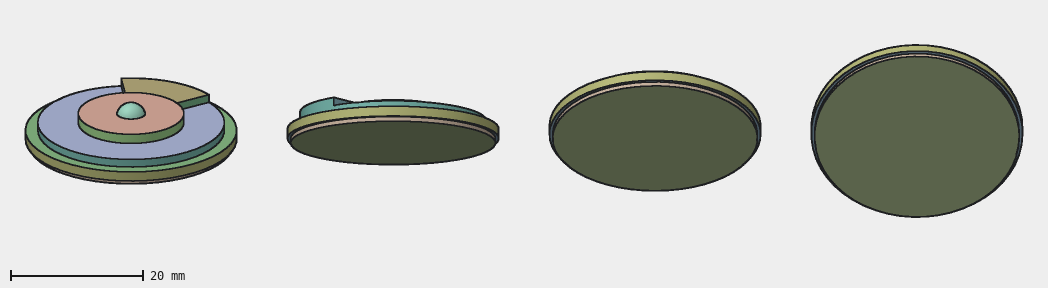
import cadquery as cq
import math

FOOT_DIAMETER = 31.0
FOOT_TOP = 0.7
FLANGE_DIAMETER = 32.0
FLANGE_THICKNESS = 1.5
FLANGE_TOP = FOOT_TOP + FLANGE_THICKNESS
STEP_DIAMETER = 28.25
STEP_THICKNESS = 1.25
STEP_TOP = FLANGE_TOP + STEP_THICKNESS
HUB_DIAMETER = 16.0
HUB_THICKNESS = 1.5
HUB_TOP = STEP_TOP + HUB_THICKNESS

SECTOR_RISE = 1.25
SECTOR_TOP = STEP_TOP + SECTOR_RISE
SECTOR_HALF_ANGLE = 31.4

BALL_DIAMETER = 4.5
TOTAL_HEIGHT = 6.58


def disc(diameter, bottom, top):
    """Plain disc on the Z axis between two heights."""
    return cq.Workplane("XY").workplane(offset=bottom).circle(diameter / 2).extrude(top - bottom)


def sector():
    """Slice of a taller step disc between two radial planes; its tip lies inside the hub."""
    reach = STEP_DIAMETER
    side_x = reach * math.tan(math.radians(SECTOR_HALF_ANGLE))
    wedge = (
        cq.Workplane("XY")
        .workplane(offset=FLANGE_TOP)
        .polyline([(0, 0), (side_x, reach), (-side_x, reach)])
        .close()
        .extrude(SECTOR_TOP - FLANGE_TOP)
    )
    return disc(STEP_DIAMETER, FLANGE_TOP, SECTOR_TOP).intersect(wedge)


def ball():
    """Sphere reaching the full height of the part, with its centre below the hub face."""
    radius = BALL_DIAMETER / 2
    return cq.Workplane("XY").sphere(radius).translate((0, 0, TOTAL_HEIGHT - radius))


result = (
    disc(FOOT_DIAMETER, 0, FOOT_TOP)
    .union(disc(FLANGE_DIAMETER, FOOT_TOP, FLANGE_TOP))
    .union(disc(STEP_DIAMETER, FLANGE_TOP, STEP_TOP))
    .union(disc(HUB_DIAMETER, STEP_TOP, HUB_TOP))
    .union(sector())
    .union(ball())
)